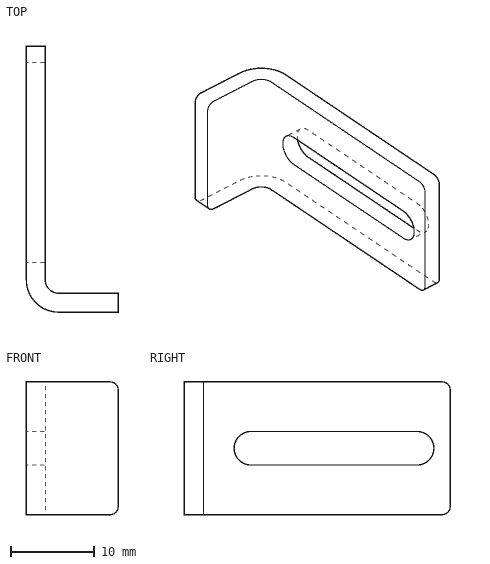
import cadquery as cq

long_leg = 32.0
short_leg = 11.07
strip_width = 16.0
thickness = 2.3
inner_bend_radius = 1.6
corner_radius = 1.0

slot_length = 24.0
slot_width = 4.0
slot_end_margin = 2.0

outer_bend_radius = inner_bend_radius + thickness
slot_center_y = long_leg - slot_end_margin - slot_length / 2


def bent_strip():
    """L-shaped strip with its outer corner at the origin and its bend along Z."""
    strip = (
        cq.Workplane("XY")
        .polyline([
            (0, 0),
            (short_leg, 0),
            (short_leg, thickness),
            (thickness, thickness),
            (thickness, long_leg),
            (0, long_leg),
        ])
        .close()
        .extrude(strip_width)
    )
    strip = strip.edges(cq.NearestToPointSelector((0, 0, strip_width / 2))).fillet(outer_bend_radius)
    inner_corner = (thickness, thickness, strip_width / 2)
    return strip.edges(cq.NearestToPointSelector(inner_corner)).fillet(inner_bend_radius)


def round_free_ends(strip):
    """Round the two corners at the free end of each leg."""
    strip = strip.faces(">Y").edges("|X").fillet(corner_radius)
    return strip.faces(">X").edges("|Y").fillet(corner_radius)


def slot_cutter():
    """Slot running along Y, centred on the strip width."""
    return (
        cq.Workplane("YZ")
        .center(slot_center_y, strip_width / 2)
        .slot2D(slot_length, slot_width)
        .extrude(thickness)
    )


result = round_free_ends(bent_strip()).cut(slot_cutter())